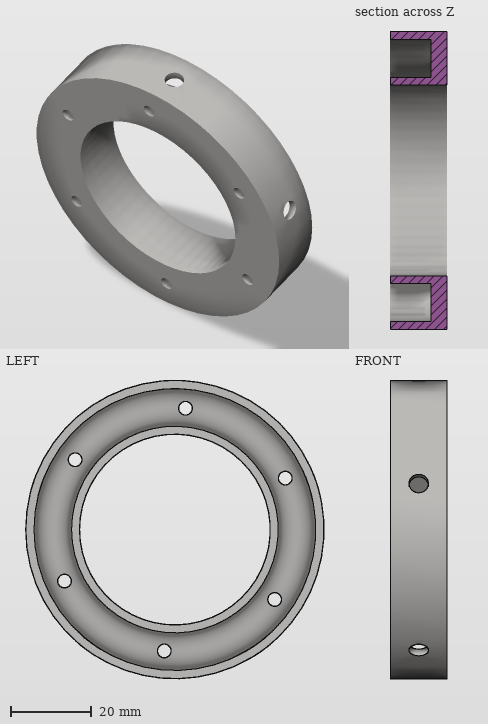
import cadquery as cq
import math

outer_diameter = 73.7
ring_width = 14.0
bore_diameter = 47.0

channel_outer_diameter = 69.6
channel_inner_diameter = 51.0
floor_thickness = 4.0

floor_hole_count = 6
floor_hole_diameter = 3.3
floor_hole_circle_radius = 30.1
floor_hole_start_angle = 95.0

wall_hole_count = 5
wall_hole_diameter = 4.8
wall_hole_start_angle = 90.0

open_face_x = -ring_width / 2
channel_depth = ring_width - floor_thickness


def tube(outer, inner, length):
    """Tube along +X starting at the open (-X) face."""
    return (
        cq.Workplane("YZ", origin=(open_face_x, 0, 0))
        .circle(outer / 2)
        .circle(inner / 2)
        .extrude(length)
    )


def hole_angles(count, start):
    """Equally spaced angles, in degrees."""
    return [start + i * 360.0 / count for i in range(count)]


def floor_holes():
    """Cutters parallel to X, evenly spaced on a circle."""
    points = [
        (
            floor_hole_circle_radius * math.cos(math.radians(angle)),
            floor_hole_circle_radius * math.sin(math.radians(angle)),
        )
        for angle in hole_angles(floor_hole_count, floor_hole_start_angle)
    ]
    return (
        cq.Workplane("YZ", origin=(open_face_x, 0, 0))
        .pushPoints(points)
        .circle(floor_hole_diameter / 2)
        .extrude(ring_width)
    )


def wall_hole(angle):
    """Radial cutter reaching from mid-channel to the outside."""
    start_radius = (channel_outer_diameter + channel_inner_diameter) / 4
    direction = cq.Vector(0, math.cos(math.radians(angle)), math.sin(math.radians(angle)))
    return cq.Solid.makeCylinder(
        wall_hole_diameter / 2,
        outer_diameter / 2,
        direction * start_radius,
        direction,
    )


result = tube(outer_diameter, bore_diameter, ring_width)
result = result.cut(tube(channel_outer_diameter, channel_inner_diameter, channel_depth))
result = result.cut(floor_holes())
for wall_angle in hole_angles(wall_hole_count, wall_hole_start_angle):
    result = result.cut(cq.Workplane(obj=wall_hole(wall_angle)))